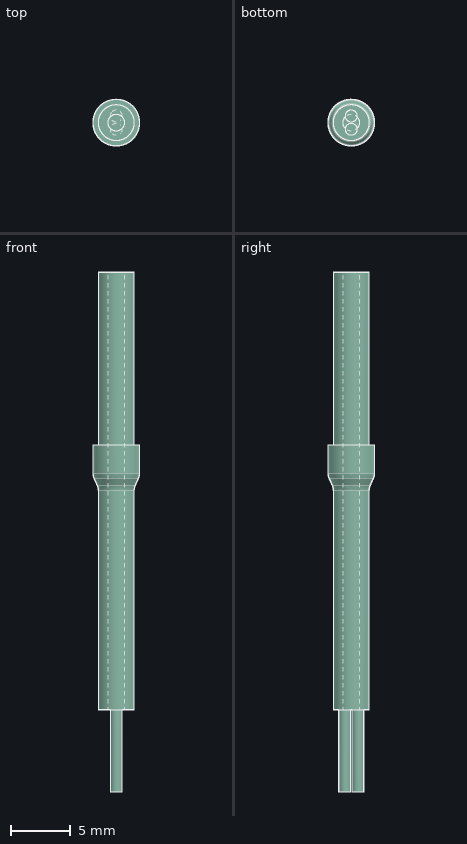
import cadquery as cq

TOTAL_LENGTH = 43.5
WIRE_LENGTH = 6.87

TUBE_DIAMETER = 3.0
COLLAR_DIAMETER = 3.9
COLLAR_TOP_Z = 29.05
TAPER_TOP_Z = 26.45
TAPER_BOTTOM_Z = 25.45
TAPER_BLEND_RADIUS = 1.0

CORE_DIAMETER = 1.4
WIRE_DIAMETER = 1.0
WIRE_GAP = 0.11

SLEEVE_LENGTH = TOTAL_LENGTH - WIRE_LENGTH
TUBE_RADIUS = TUBE_DIAMETER / 2
COLLAR_RADIUS = COLLAR_DIAMETER / 2
CORE_RADIUS = CORE_DIAMETER / 2
WIRE_RADIUS = WIRE_DIAMETER / 2
WIRE_SPACING = WIRE_DIAMETER + WIRE_GAP


def make_sleeve():
    """Turned tube and collar, tapering from the collar down to the tube, bored through for the core."""
    outline = [
        (CORE_RADIUS, WIRE_LENGTH),
        (TUBE_RADIUS, WIRE_LENGTH),
        (TUBE_RADIUS, TAPER_BOTTOM_Z),
        (COLLAR_RADIUS, TAPER_TOP_Z),
        (COLLAR_RADIUS, COLLAR_TOP_Z),
        (TUBE_RADIUS, COLLAR_TOP_Z),
        (TUBE_RADIUS, TOTAL_LENGTH),
        (CORE_RADIUS, TOTAL_LENGTH),
    ]
    sleeve = cq.Workplane("XZ").polyline(outline).close().revolve(360, (0, 0, 0), (0, 1, 0))
    taper_ends = sleeve.faces("%CONE").edges("%CIRCLE")
    return taper_ends.fillet(TAPER_BLEND_RADIUS)


def make_core():
    """Straight rod as long as the sleeve, flush with both of its ends."""
    return cq.Workplane("XY").workplane(offset=WIRE_LENGTH).circle(CORE_RADIUS).extrude(SLEEVE_LENGTH)


def make_wire(center_y):
    """Straight wire hanging from the lower end of the sleeve and core."""
    return cq.Workplane("XY").center(0, center_y).circle(WIRE_RADIUS).extrude(WIRE_LENGTH)


sleeve = make_sleeve()
core = make_core()
wires = [make_wire(side * WIRE_SPACING / 2) for side in (-1, 1)]

result = cq.Compound.makeCompound([sleeve.val(), core.val(), *[wire.val() for wire in wires]])